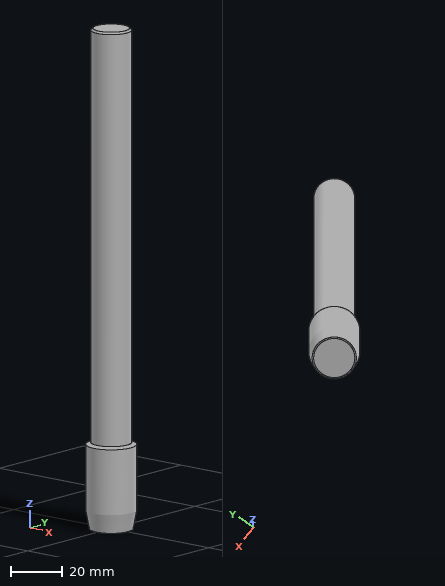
import cadquery as cq

rod_length = 200.0
rod_diameter = 16.0
rod_chamfer = 0.8

sleeve_diameter = 20.0
sleeve_height = 34.5
sleeve_top_slope_height = 0.8
taper_height = 7.5
taper_end_diameter = 17.2

rod_radius = rod_diameter / 2
sleeve_radius = sleeve_diameter / 2
taper_end_radius = taper_end_diameter / 2


def make_rod():
    """Full-length round rod with a chamfered top edge."""
    rod = cq.Workplane("XY").circle(rod_radius).extrude(rod_length)
    return rod.faces(">Z").edges().chamfer(rod_chamfer)


def make_sleeve():
    """Sleeve around the rod's lower end, with a tapered foot and a sloping top."""
    profile = [
        (rod_radius, 0),
        (taper_end_radius, 0),
        (sleeve_radius, taper_height),
        (sleeve_radius, sleeve_height - sleeve_top_slope_height),
        (rod_radius, sleeve_height),
    ]
    outline = cq.Workplane("XZ").polyline(profile).close()
    return outline.revolve(360, (0, 0, 0), (0, 1, 0))


rod = make_rod()
sleeve = make_sleeve()
result = cq.Compound.makeCompound([rod.val(), sleeve.val()])